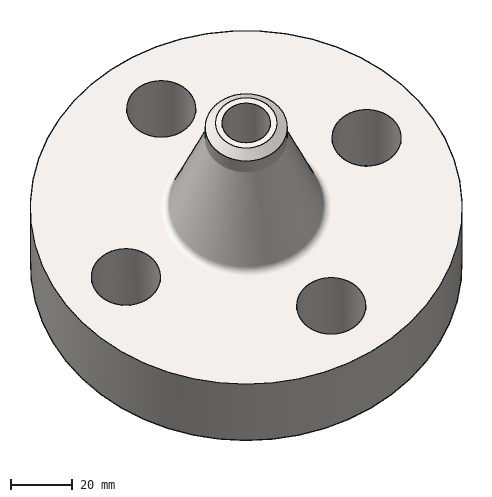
import cadquery as cq

flange_diameter = 139.7
flange_radius = flange_diameter / 2
flange_thickness = 31.7

face_radius = 21.4
face_height = 6.4

overall_height = 85.6
weld_end_radius = 13.3
weld_end_length = 9.0
bevel_height = 2.5
bevel_land_radius = 9.9
hub_base_radius = 25.5
hub_fillet_radius = 2.8

bore_radius = 7.8

bolt_count = 4
bolt_circle_radius = 47.6
bolt_hole_radius = 11.2

face_z = -face_height
top_z = overall_height - face_height
bevel_start_z = top_z - bevel_height
taper_top_z = top_z - weld_end_length


def revolved_body():
    """Disc, raised face and hub turned from one half section in the XZ plane."""
    profile = (
        cq.Workplane("XZ")
        .moveTo(0, face_z)
        .lineTo(face_radius, face_z)
        .lineTo(face_radius, 0)
        .lineTo(flange_radius, 0)
        .lineTo(flange_radius, flange_thickness)
        .lineTo(hub_base_radius, flange_thickness)
        .lineTo(weld_end_radius, taper_top_z)
        .lineTo(weld_end_radius, bevel_start_z)
        .lineTo(bevel_land_radius, top_z)
        .lineTo(0, top_z)
        .close()
    )
    return profile.revolve(360, (0, 0, 0), (0, 1, 0))


def round_hub_root(body):
    """Fillet the inside corner where the hub meets the top of the disc."""
    margin = 0.1
    root_edge = cq.selectors.BoxSelector(
        (-flange_radius / 2, -flange_radius / 2, flange_thickness - margin),
        (flange_radius / 2, flange_radius / 2, flange_thickness + margin),
        boundingbox=True,
    )
    return body.edges(root_edge).fillet(hub_fillet_radius)


def cut_bore(body):
    bore = cq.Workplane("XY", origin=(0, 0, face_z)).circle(bore_radius).extrude(overall_height)
    return body.cut(bore)


def cut_bolt_holes(body):
    holes = (
        cq.Workplane("XY")
        .polarArray(bolt_circle_radius, 0, 360, bolt_count)
        .circle(bolt_hole_radius)
        .extrude(flange_thickness)
    )
    return body.cut(holes)


result = cut_bolt_holes(cut_bore(round_hub_root(revolved_body())))